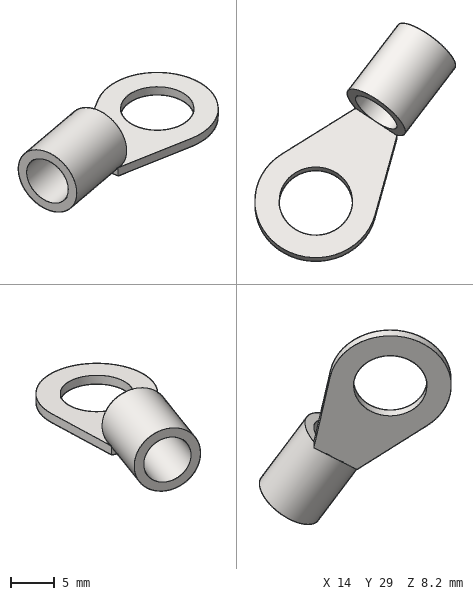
import cadquery as cq
import math

total_length = 28.98
wall = 1.2
barrel_diameter = 8.2
barrel_length = 10.0
ring_diameter = 14.0
stud_hole_diameter = 8.4

barrel_radius = barrel_diameter / 2
bore_radius = barrel_radius - wall
ring_radius = ring_diameter / 2
ring_center_y = total_length - ring_radius
neck_half_width = bore_radius


def make_barrel():
    """Tube starting at Y = 0, resting on Z = 0."""
    return (
        cq.Workplane("XZ", origin=(0, 0, barrel_radius))
        .circle(barrel_radius)
        .circle(bore_radius)
        .extrude(-barrel_length)
    )


def make_tongue():
    """Flat ring whose tangent sides taper down to the neck at the barrel end."""
    neck_drop = ring_center_y - barrel_length
    neck_distance = math.hypot(neck_half_width, neck_drop)
    neck_angle = math.atan2(-neck_drop, neck_half_width)
    tangent_angle = neck_angle + math.acos(ring_radius / neck_distance)
    tangent_x = ring_radius * math.cos(tangent_angle)
    tangent_y = ring_center_y + ring_radius * math.sin(tangent_angle)

    blank = (
        cq.Workplane("XY")
        .moveTo(-neck_half_width, barrel_length)
        .lineTo(neck_half_width, barrel_length)
        .lineTo(tangent_x, tangent_y)
        .threePointArc((0, total_length), (-tangent_x, tangent_y))
        .close()
        .extrude(wall)
    )
    stud_hole = (
        cq.Workplane("XY")
        .center(0, ring_center_y)
        .circle(stud_hole_diameter / 2)
        .extrude(wall)
    )
    return blank.cut(stud_hole)


result = make_barrel().union(make_tongue())